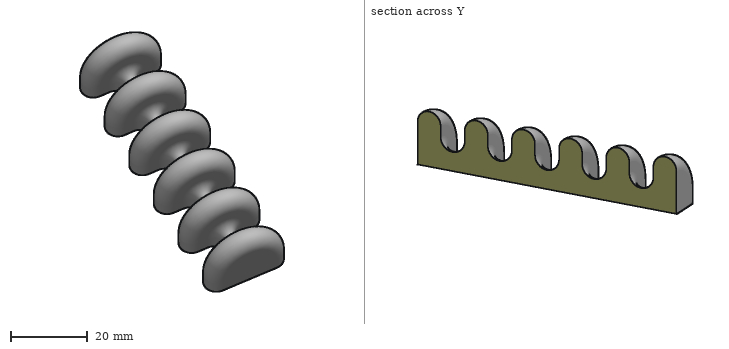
import cadquery as cq

length = 77.0
width = 23.0
height = 15.5
neck_diameter = 3.0
disc_count = 6

thickness = length / (2 * disc_count - 1)
round_radius = thickness / 2
disc_radius = width / 2
neck_radius = neck_diameter / 2
base_height = height - disc_radius
rim_start = disc_radius - round_radius
flank_start = neck_radius + round_radius


def half_profile():
    """Half outline above the X axis: round-rimmed discs joined by concave necks."""
    outline = cq.Workplane("XY").moveTo(-length / 2, 0)
    for index in range(disc_count):
        left = -length / 2 + 2 * thickness * index
        middle = left + round_radius
        right = left + thickness
        outline = outline.lineTo(left, rim_start)
        outline = outline.threePointArc((middle, disc_radius), (right, rim_start))
        if index < disc_count - 1:
            gap_middle = right + round_radius
            gap_end = right + thickness
            outline = outline.lineTo(right, flank_start)
            outline = outline.threePointArc((gap_middle, neck_radius), (gap_end, flank_start))
    return outline.lineTo(length / 2, 0).close()


upper_body = half_profile().revolve(180, (0, 0, 0), (1, 0, 0))

half_base = half_profile().extrude(-base_height)
base = half_base.union(half_base.mirror("XZ"))

result = upper_body.union(base).clean().translate((0, 0, base_height))